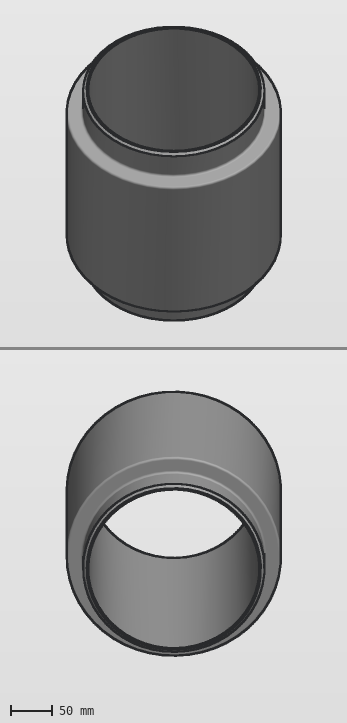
import cadquery as cq

total_length = 290.0
sleeve_diameter = 259.0
pipe_diameter = 219.0
bore_diameter = 206.5
neck_length = 37.7
bevel_width = 4.4
bevel_height = 3.2
edge_round = 3.0
root_fillet = 3.0

sleeve_radius = sleeve_diameter / 2
pipe_radius = pipe_diameter / 2
bore_radius = bore_diameter / 2
half_length = total_length / 2
shoulder_height = half_length - neck_length


def joint_profile():
    """Closed half section on the -X side, symmetric about Z = 0, with the axis along Z."""
    return (
        cq.Workplane("XZ")
        .moveTo(-bore_radius, -half_length)
        .lineTo(-pipe_radius + bevel_width, -half_length)
        .lineTo(-pipe_radius, -half_length + bevel_height)
        .lineTo(-pipe_radius, -shoulder_height - root_fillet)
        .radiusArc((-pipe_radius - root_fillet, -shoulder_height), -root_fillet)
        .lineTo(-sleeve_radius + edge_round, -shoulder_height)
        .radiusArc((-sleeve_radius, -shoulder_height + edge_round), edge_round)
        .lineTo(-sleeve_radius, shoulder_height - edge_round)
        .radiusArc((-sleeve_radius + edge_round, shoulder_height), edge_round)
        .lineTo(-pipe_radius - root_fillet, shoulder_height)
        .radiusArc((-pipe_radius, shoulder_height + root_fillet), -root_fillet)
        .lineTo(-pipe_radius, half_length - bevel_height)
        .lineTo(-pipe_radius + bevel_width, half_length)
        .lineTo(-bore_radius, half_length)
        .close()
    )


result = joint_profile().revolve(360, (0, 0, 0), (0, 1, 0))